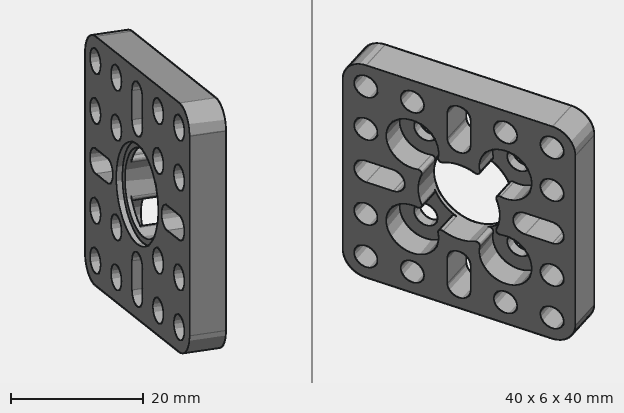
import cadquery as cq
import math

side = 40.0
thickness = 6.0
corner_radius = 4.0
front_y = -thickness / 2

pitch = 8.0
hole_diameter = 4.0
slot_length = 8.7
slot_center = 2 * pitch + hole_diameter / 2 - slot_length / 2

bore_diameter = 14.0
recess_diameter = 16.0
recess_depth = 1.0

pocket_diameter = 9.0
pocket_floor = 1.8
pocket_edge_radius = 0.6
tolerance = 0.005


def sketch_plane(depth):
    """XZ plane at a depth behind the front face; extrusion runs toward +Y."""
    plane = cq.Plane(origin=(0, front_y + depth, 0), xDir=(1, 0, 0), normal=(0, -1, 0))
    return cq.Workplane(plane)


def make_plate():
    plate = sketch_plane(0).rect(side, side).extrude(-thickness)
    return plate.edges("|Y").fillet(corner_radius)


def joins_bore_to_pocket(edge):
    """True for edges on the bore wall, away from its seam on the X axis."""
    center = edge.Center()
    radius = math.hypot(center.x, center.z)
    return math.isclose(radius, bore_diameter / 2, abs_tol=tolerance) and abs(center.z) > tolerance


def make_rear_pockets():
    """Bore and round pockets joined, with the edges where they meet rounded."""
    depth = thickness - pocket_floor
    corners = [(x, z) for x in (-pitch, pitch) for z in (-pitch, pitch)]
    pockets = sketch_plane(pocket_floor).pushPoints(corners).circle(pocket_diameter / 2).extrude(-depth)
    bore = sketch_plane(pocket_floor).circle(bore_diameter / 2).extrude(-depth)
    meeting_edges = bore.union(pockets).edges("|Y").filter(joins_bore_to_pocket)
    return meeting_edges.fillet(pocket_edge_radius)


def make_holes():
    """Two-by-two group of holes in each quadrant."""
    rows = [-2 * pitch, -pitch, pitch, 2 * pitch]
    centers = [(x, z) for x in rows for z in rows]
    return sketch_plane(0).pushPoints(centers).circle(hole_diameter / 2).extrude(-thickness)


def make_slots(angle):
    """Pair of radial slots on opposite sides of the bore."""
    slots = sketch_plane(0).pushPoints([(-slot_center, 0), (slot_center, 0)])
    slots = slots.slot2D(slot_length, hole_diameter).extrude(-thickness)
    return slots.rotate((0, 0, 0), (0, 1, 0), angle)


through_bore = sketch_plane(0).circle(bore_diameter / 2).extrude(-thickness)
recess = sketch_plane(0).circle(recess_diameter / 2).extrude(-recess_depth)

result = make_plate().cut(through_bore).cut(recess).cut(make_rear_pockets()).cut(make_holes())
for slot_angle in (0, 90):
    result = result.cut(make_slots(slot_angle))